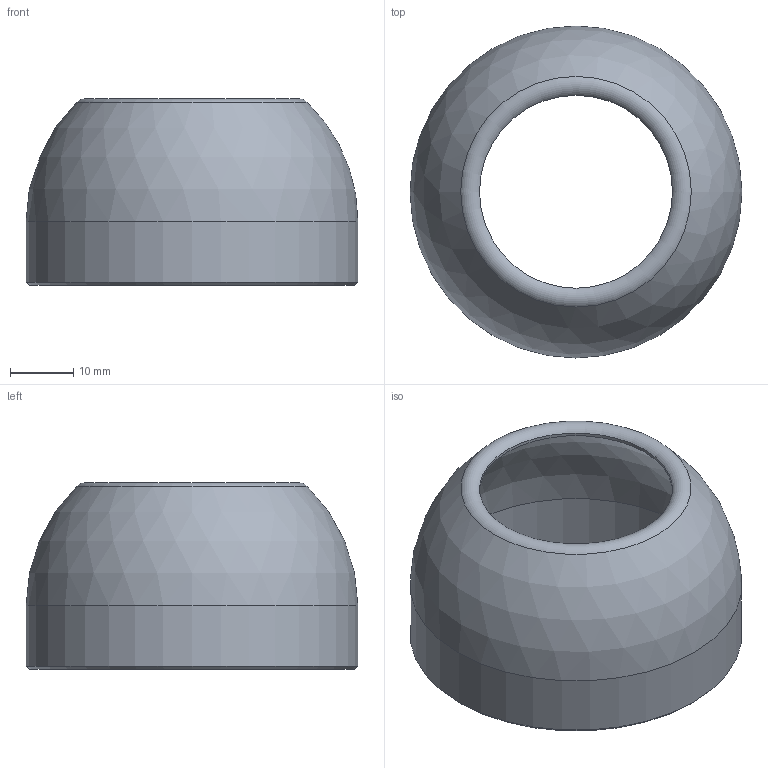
import cadquery as cq
import math

outer_diameter = 52.3
inner_diameter = 47.3
total_height = 29.37
skirt_height = 10.0
bottom_chamfer = 0.5
opening_radius = 15.2
lip_radius = 2.0

outer_radius = outer_diameter / 2
inner_radius = inner_diameter / 2

lip_centre_height = total_height - lip_radius
lip_centre_rise = lip_centre_height - skirt_height
lip_centre_radius = math.sqrt((outer_radius - lip_radius) ** 2 - lip_centre_rise**2)
lip_tangent_angle = math.atan2(lip_centre_rise, lip_centre_radius)
lip_edge_height = lip_centre_height + math.sqrt(
    lip_radius**2 - (lip_centre_radius - opening_radius) ** 2
)

inner_dome_end_angle = math.acos(opening_radius / inner_radius)


def dome_point(sphere_radius, angle):
    """Half-section point on a dome sphere, at an angle above the top of the skirt."""
    return (
        sphere_radius * math.cos(angle),
        skirt_height + sphere_radius * math.sin(angle),
    )


def wall_profile():
    """Closed half-section of the wall in the XZ plane, on the +X side of the Z axis."""
    return (
        cq.Workplane("XZ")
        .moveTo(inner_radius, 0)
        .lineTo(outer_radius - bottom_chamfer, 0)
        .lineTo(outer_radius, bottom_chamfer)
        .lineTo(outer_radius, skirt_height)
        .threePointArc(
            dome_point(outer_radius, lip_tangent_angle / 2),
            dome_point(outer_radius, lip_tangent_angle),
        )
        .threePointArc((lip_centre_radius, total_height), (opening_radius, lip_edge_height))
        .lineTo(*dome_point(inner_radius, inner_dome_end_angle))
        .threePointArc(
            dome_point(inner_radius, inner_dome_end_angle / 2),
            (inner_radius, skirt_height),
        )
        .close()
    )


result = wall_profile().revolve(360, (0, 0, 0), (0, 1, 0))